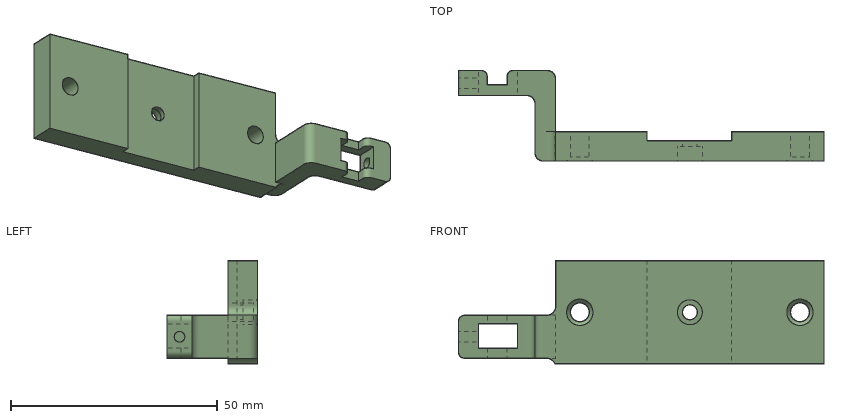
import cadquery as cq

length = 88.6
depth = 22.0
height = 25.0
plate_left = 23.6
plate_thickness = 7.2

channel_left = 45.7
channel_right = 66.2
channel_depth = 2.2

arm_bottom = 1.3
arm_height = 10.45
arm_top = arm_bottom + arm_height
arm_middle = arm_bottom + arm_height / 2
riser_left = 18.5
finger_thickness = 6.1
finger_front = depth - finger_thickness
bend_outer_radius = 2.0
bend_inner_radius = 1.9
tip_radius = 1.5
root_radius = 2.2

notch_left = 7.0
notch_right = 11.8
notch_depth = 3.45
notch_lip_radius = 1.4
window_left = 4.9
window_right = 14.3
window_bottom = 3.8
window_height = 5.85
end_hole_diameter = 2.6

hole_middle_x = 56.1
hole_spacing = 26.7
hole_z = height / 2
outer_hole_diameter = 4.5
outer_sink_diameter = 6.4
outer_sink_depth = 1.0
middle_hole_diameter = 3.5
middle_bore_diameter = 6.0
middle_bore_depth = 3.5


def block(x0, x1, y0, y1, z0, z1):
    """Box given by its limits along each axis."""
    return cq.Workplane("XY").box(x1 - x0, y1 - y0, z1 - z0, centered=False).translate((x0, y0, z0))


def drill(x, diameter, hole_depth):
    """Cylinder running back from the front face of the plate."""
    return cq.Workplane("XZ", origin=(x, 0, hole_z)).circle(diameter / 2).extrude(-hole_depth)


def make_plate():
    plate = block(plate_left, length, 0, plate_thickness, 0, height)
    channel_floor = plate_thickness - channel_depth
    return plate.cut(block(channel_left, channel_right, channel_floor, plate_thickness, 0, height))


def make_arm():
    notch_floor = depth - notch_depth
    arm = (
        cq.Workplane("XY", origin=(0, 0, arm_bottom))
        .moveTo(plate_left, 0)
        .lineTo(riser_left + bend_outer_radius, 0)
        .radiusArc((riser_left, bend_outer_radius), bend_outer_radius)
        .lineTo(riser_left, finger_front - bend_inner_radius)
        .radiusArc((riser_left - bend_inner_radius, finger_front), -bend_inner_radius)
        .lineTo(0, finger_front)
        .lineTo(0, depth)
        .lineTo(notch_left - notch_lip_radius, depth)
        .radiusArc((notch_left, depth - notch_lip_radius), notch_lip_radius)
        .lineTo(notch_left, notch_floor)
        .lineTo(notch_right, notch_floor)
        .lineTo(notch_right, depth - notch_lip_radius)
        .radiusArc((notch_right + notch_lip_radius, depth), notch_lip_radius)
        .lineTo(plate_left - bend_outer_radius, depth)
        .radiusArc((plate_left, depth - bend_outer_radius), bend_outer_radius)
        .close()
        .extrude(arm_height)
    )
    arm = arm.edges("|Y and <X").fillet(tip_radius)
    window_top = window_bottom + window_height
    arm = arm.cut(block(window_left, window_right, finger_front, depth, window_bottom, window_top))
    end_hole = (
        cq.Workplane("YZ", origin=(0, depth - finger_thickness / 2, arm_middle))
        .circle(end_hole_diameter / 2)
        .extrude(window_left)
    )
    return arm.cut(end_hole)


def root_fillet(arm_face, direction):
    """Concave fillet between the arm's upper (+1) or lower (-1) face and the plate's left edge."""
    start_x = plate_left - root_radius
    end_z = arm_face + direction * root_radius
    fillet = (
        cq.Workplane("XZ")
        .moveTo(plate_left, arm_face)
        .lineTo(start_x, arm_face)
        .radiusArc((plate_left, end_z), -direction * root_radius)
        .close()
        .extrude(-plate_thickness)
    )
    return fillet.intersect(block(start_x, plate_left, 0, plate_thickness, 0, height))


def cut_plate_holes(body):
    for x in (hole_middle_x - hole_spacing, hole_middle_x + hole_spacing):
        body = body.cut(drill(x, outer_hole_diameter, plate_thickness))
        sink = (
            cq.Workplane("XZ", origin=(x, 0, hole_z))
            .circle(outer_sink_diameter / 2)
            .workplane(offset=-outer_sink_depth)
            .circle(outer_hole_diameter / 2)
            .loft()
        )
        body = body.cut(sink)
    body = body.cut(drill(hole_middle_x, middle_hole_diameter, plate_thickness))
    return body.cut(drill(hole_middle_x, middle_bore_diameter, middle_bore_depth))


body = make_plate().union(make_arm())
body = body.union(root_fillet(arm_top, 1)).union(root_fillet(arm_bottom, -1))
result = cut_plate_holes(body)